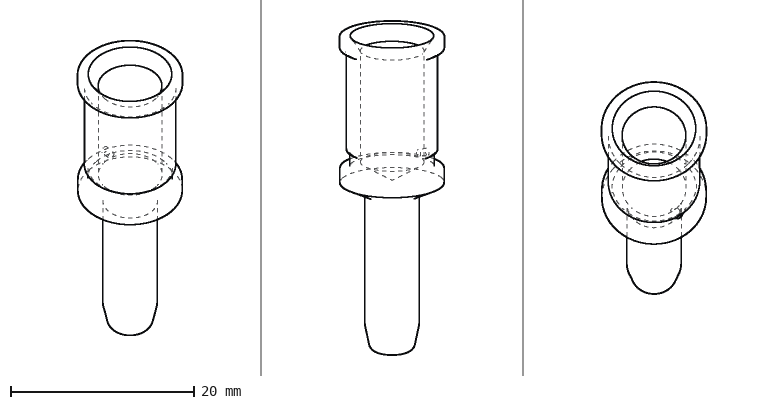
import cadquery as cq
import math

total_length = 35.95

rim_radius = 5.75
rim_band_bottom = 34.55
rim_cone_bottom = 34.2

body_radius = 5.0
body_bottom = 22.97
neck_radius = 4.65
neck_top = 22.8

collar_radius = 5.7
collar_top = 20.95
collar_bottom = 19.2

pin_radius = 3.0
pin_top = 17.85
pin_taper_start = 3.02
tip_radius = 2.37
tip_round = 1.0
taper_round = 1.0

edge_round = 0.15
rim_underside_round = 0.3
selection_margin = 0.05

mouth_radius = 4.42
mouth_depth = 1.7
mouth_edge_chamfer = 0.15
bore_radius = 3.5
bore_bottom = 21.57
drill_point_angle = 118.0

inspection_radius = 0.4
inspection_height = 21.95


def round_at(body, height, radius):
    """Fillet every circular edge of the body that lies at the given height."""
    band = cq.selectors.BoxSelector(
        (-rim_radius, -rim_radius, height - selection_margin),
        (rim_radius, rim_radius, height + selection_margin),
    )
    return body.edges(band).edges("%CIRCLE").fillet(radius)


def outer_body():
    """Turned outside shape, revolved about Z, with its edges rounded."""
    body = (
        cq.Workplane("XZ")
        .lineTo(tip_radius, 0)
        .lineTo(pin_radius, pin_taper_start)
        .lineTo(pin_radius, pin_top)
        .lineTo(collar_radius, collar_bottom)
        .lineTo(collar_radius, collar_top)
        .lineTo(neck_radius, collar_top)
        .lineTo(neck_radius, neck_top)
        .lineTo(body_radius, body_bottom)
        .lineTo(body_radius, rim_cone_bottom)
        .lineTo(rim_radius, rim_band_bottom)
        .lineTo(rim_radius, total_length)
        .lineTo(0, total_length)
        .close()
        .revolve(360, (0, 0, 0), (0, 1, 0))
    )
    body = round_at(body, 0, tip_round)
    body = round_at(body, pin_taper_start, taper_round)
    for height in (pin_top, collar_top, neck_top, body_bottom, total_length):
        body = round_at(body, height, edge_round)
    for height in (rim_cone_bottom, rim_band_bottom):
        body = round_at(body, height, rim_underside_round)
    return body


def bore():
    """Flared blind bore, revolved about Z."""
    point_depth = bore_radius / math.tan(math.radians(drill_point_angle / 2))
    return (
        cq.Workplane("XZ")
        .moveTo(0, bore_bottom - point_depth)
        .lineTo(bore_radius, bore_bottom)
        .lineTo(bore_radius, total_length - mouth_depth)
        .lineTo(mouth_radius, total_length - mouth_edge_chamfer)
        .lineTo(mouth_radius + mouth_edge_chamfer, total_length)
        .lineTo(0, total_length)
        .close()
        .revolve(360, (0, 0, 0), (0, 1, 0))
    )


def inspection_hole():
    """Small hole from the -X side of the neck to the bore."""
    return (
        cq.Workplane("YZ")
        .center(0, inspection_height)
        .circle(inspection_radius)
        .extrude(-rim_radius)
    )


result = outer_body().cut(bore()).cut(inspection_hole())